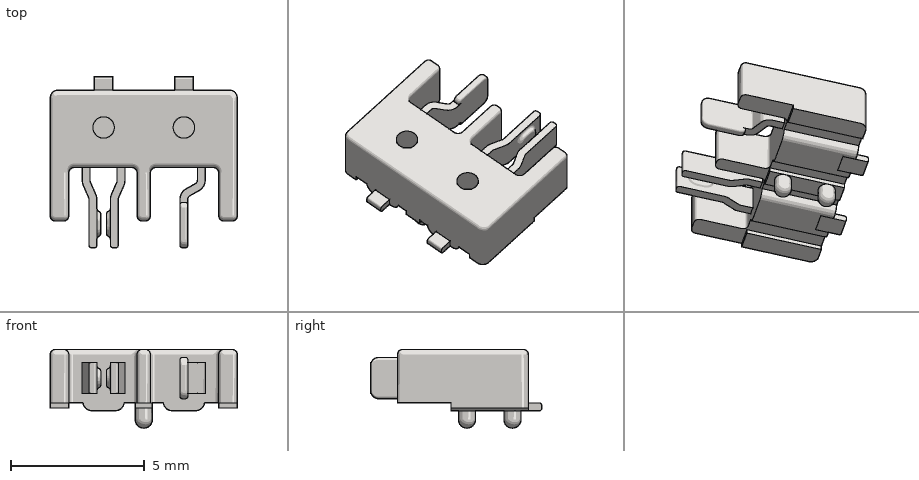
import cadquery as cq
import math


HOUSING_WIDTH = 7.0
REAR_Y = 2.9
FRONT_Y = -2.0
TOP_Z = 2.3
UNDERSIDE_Z = 0.3
OUTER_LEG_WIDTH = 0.7
CENTRE_LEG_WIDTH = 0.5
EDGE_RADIUS = 0.2
REAR_CORNER_RADIUS = 0.3
STANDOFF_Z = 0.1
PIN_DIAMETER = 0.65
PIN_TIP_Z = -0.65
PIN_Y_POSITIONS = (0.6, 2.3)
HOLE_DIAMETER = 0.8
HOLE_DEPTH = 1.0
HOLE_Y = 1.5
KEEL_WIDTH = 1.55
KEEL_FLAT_WIDTH = 0.85

POLE_X = 1.5
METAL_THICKNESS = 0.3
EMBED_DEPTH = 0.5
CONTACT_FRONT_Y = -3.0
CONTACT_BOTTOM_Z = 0.65
CONTACT_TOP_Z = 1.8
ROOT_OFFSET = 0.65
METAL_EDGE_RADIUS = 0.1

SPRING_TIP_OFFSET = 0.4
SPRING_BENDS_Y = (-0.55, -1.12)
SPRING_INNER_RADIUS = 0.15
DIMPLE_HEIGHT = 0.15
DIMPLE_LENGTH = 0.94
DIMPLE_WIDTH = 0.72
DIMPLE_BLEND_RADIUS = 0.13
DIMPLE_Y = -2.1

BLADE_BENDS_Y = (-0.64, -1.01)
BLADE_INNER_RADIUS = 0.15
BLADE_REAR_Y = -1.3
BLADE_OVERHANG = 0.2
BLADE_FRONT_CORNER_RADIUS = 0.3
BLADE_REAR_CORNER_RADIUS = 0.2

TAIL_WIDTH = 0.7
TAIL_LENGTH = 0.5

CONTACT_MID_Z = (CONTACT_BOTTOM_Z + CONTACT_TOP_Z) / 2


def block(x_range, y_range, z_range):
    """Axis-aligned box between the given limits."""
    size = [high - low for low, high in (x_range, y_range, z_range)]
    corner = (x_range[0], y_range[0], z_range[0])
    return cq.Workplane("XY").box(*size, centered=False).translate(corner)


def housing_shell():
    """Block with two front pockets, leaving three legs; all upper edges are rounded."""
    half_width = HOUSING_WIDTH / 2
    shell = block((-half_width, half_width), (FRONT_Y, REAR_Y), (UNDERSIDE_Z, TOP_Z))
    pocket_inner_x = CENTRE_LEG_WIDTH / 2
    pocket_outer_x = half_width - OUTER_LEG_WIDTH
    for x_range in ((-pocket_outer_x, -pocket_inner_x), (pocket_inner_x, pocket_outer_x)):
        shell = shell.cut(block(x_range, (FRONT_Y, 0), (UNDERSIDE_Z, TOP_Z)))
    shell = shell.edges("|Z and >Y").fillet(REAR_CORNER_RADIUS)
    shell = shell.edges(cq.selectors.BoxSelector(
        (-half_width - 1, FRONT_Y - 1, UNDERSIDE_Z),
        (half_width + 1, REAR_Y / 2, TOP_Z),
    )).edges("|Z").fillet(EDGE_RADIUS)
    return shell.faces(">Z").edges().fillet(EDGE_RADIUS)


def side_foot(side):
    """Low standoff under one outer wall, following the rounded rear corner."""
    outer_x = side * HOUSING_WIDTH / 2
    inner_x = outer_x - side * OUTER_LEG_WIDTH
    foot = block(sorted((inner_x, outer_x)), (0, REAR_Y), (STANDOFF_Z, UNDERSIDE_Z))
    rear_outer_edge = ">X" if side > 0 else "<X"
    return foot.edges("|Z").edges(">Y").edges(rear_outer_edge).fillet(REAR_CORNER_RADIUS)


def centre_foot():
    """Low standoff under the middle that carries the locating pins."""
    half_width = PIN_DIAMETER / 2
    return block((-half_width, half_width), (0, REAR_Y), (STANDOFF_Z, UNDERSIDE_Z))


def keel(pole_x):
    """Round-sided ridge under one pole, reaching down to the board plane."""
    half_top = KEEL_WIDTH / 2
    half_flat = KEEL_FLAT_WIDTH / 2
    side_run = half_top - half_flat
    side_radius = (side_run ** 2 + UNDERSIDE_Z ** 2) / (2 * UNDERSIDE_Z)
    return (
        cq.Workplane("XZ")
        .moveTo(pole_x - half_flat, 0)
        .lineTo(pole_x + half_flat, 0)
        .radiusArc((pole_x + half_top, UNDERSIDE_Z), -side_radius)
        .lineTo(pole_x - half_top, UNDERSIDE_Z)
        .radiusArc((pole_x - half_flat, 0), -side_radius)
        .close()
        .extrude(-REAR_Y)
    )


def locating_pin(pin_y):
    """Round pin with a hemispherical tip."""
    radius = PIN_DIAMETER / 2
    tip_centre = cq.Workplane("XY", origin=(0, pin_y, PIN_TIP_Z + radius))
    shank = tip_centre.circle(radius).extrude(STANDOFF_Z - PIN_TIP_Z - radius)
    return shank.union(tip_centre.sphere(radius))


def top_hole(pole_x):
    """Blind round hole in the top face."""
    hole = cq.Workplane("XY", origin=(pole_x, HOLE_Y, TOP_Z)).circle(HOLE_DIAMETER / 2)
    return hole.extrude(-HOLE_DEPTH)


def make_housing():
    housing = housing_shell().union(centre_foot())
    for side in (-1, 1):
        housing = housing.union(side_foot(side))
        housing = housing.union(keel(side * POLE_X))
        housing = housing.cut(top_hole(side * POLE_X))
    for pin_y in PIN_Y_POSITIONS:
        housing = housing.union(locating_pin(pin_y))
    return housing


def bent_strip(root_x, tip_x, bends_y, front_y, inner_radius):
    """Flat strip standing on edge, jogged sideways from root_x to tip_x by two equal bends."""
    half = METAL_THICKNESS / 2
    first_y, second_y = bends_y
    bend_angle = math.atan2(tip_x - root_x, first_y - second_y)
    mitre = half * math.tan(bend_angle / 2)
    strip = (
        cq.Workplane("XY", origin=(0, 0, CONTACT_BOTTOM_Z))
        .polyline([
            (root_x + half, EMBED_DEPTH),
            (root_x + half, first_y + mitre),
            (tip_x + half, second_y + mitre),
            (tip_x + half, front_y),
            (tip_x - half, front_y),
            (tip_x - half, second_y - mitre),
            (root_x - half, first_y - mitre),
            (root_x - half, EMBED_DEPTH),
        ])
        .close()
        .extrude(CONTACT_TOP_Z - CONTACT_BOTTOM_Z)
    )
    jog = math.copysign(1, tip_x - root_x)
    for bend_x, bend_y, inside in ((root_x, first_y, jog), (tip_x, second_y, -jog)):
        for side, radius in ((inside, inner_radius), (-inside, inner_radius + METAL_THICKNESS)):
            corner = (bend_x + side * half, bend_y + side * mitre, CONTACT_MID_Z)
            strip = strip.edges(cq.selectors.NearestToPointSelector(corner)).fillet(radius)
    return strip


def spring_contact(side):
    """Sprung arm of the socket pole, with a contact dimple facing the opposite arm."""
    root_x = -POLE_X + side * ROOT_OFFSET
    tip_x = -POLE_X + side * SPRING_TIP_OFFSET
    arm = bent_strip(root_x, tip_x, SPRING_BENDS_Y, CONTACT_FRONT_Y, SPRING_INNER_RADIUS)
    arm = arm.edges("|Z and <Y").fillet(METAL_EDGE_RADIUS)
    face_x = tip_x - side * METAL_THICKNESS / 2
    return arm.union(dimple(face_x, side))


def dimple(face_x, side):
    """Oblong contact spot whose flank curves up from the arm and over into a flat crown."""
    mid_radius = DIMPLE_WIDTH / 2
    half_height = DIMPLE_HEIGHT / 2
    half_straight = (DIMPLE_LENGTH - DIMPLE_WIDTH) / 2
    flank_run = math.sqrt(DIMPLE_BLEND_RADIUS ** 2 - (DIMPLE_BLEND_RADIUS - half_height) ** 2)

    def half_section(centre_y):
        return (
            cq.Workplane("XY", origin=(face_x, centre_y, CONTACT_MID_Z))
            .lineTo(0, mid_radius + flank_run)
            .radiusArc((-side * half_height, mid_radius), side * DIMPLE_BLEND_RADIUS)
            .radiusArc((-side * DIMPLE_HEIGHT, mid_radius - flank_run), -side * DIMPLE_BLEND_RADIUS)
            .lineTo(-side * DIMPLE_HEIGHT, 0)
            .close()
        )

    front_end = half_section(DIMPLE_Y - half_straight).revolve(360, (0, 0, 0), (1, 0, 0))
    rear_end = half_section(DIMPLE_Y + half_straight).revolve(360, (0, 0, 0), (1, 0, 0))
    axis_start = (face_x, DIMPLE_Y, CONTACT_MID_Z)
    upper_half = (
        half_section(DIMPLE_Y)
        .extrude(half_straight, both=True)
        .rotate(axis_start, (face_x + 1, DIMPLE_Y, CONTACT_MID_Z), 90)
    )
    lower_half = upper_half.mirror("XY", axis_start)
    return front_end.union(rear_end).union(upper_half).union(lower_half)


def blade_contact():
    """Jogged strip ending in a taller blade with rounded corners and edges."""
    root_x = POLE_X + ROOT_OFFSET
    blade_mid_y = (BLADE_REAR_Y + CONTACT_FRONT_Y) / 2
    strip = bent_strip(root_x, POLE_X, BLADE_BENDS_Y, blade_mid_y, BLADE_INNER_RADIUS)
    half = METAL_THICKNESS / 2
    blade = block(
        (POLE_X - half, POLE_X + half),
        (CONTACT_FRONT_Y, BLADE_REAR_Y),
        (CONTACT_BOTTOM_Z - BLADE_OVERHANG, CONTACT_TOP_Z + BLADE_OVERHANG),
    )
    blade = blade.edges("|X and <Y").fillet(BLADE_FRONT_CORNER_RADIUS)
    blade = blade.faces(">Y").edges("|X").fillet(BLADE_REAR_CORNER_RADIUS)
    blade = blade.faces("<X or >X").edges().fillet(METAL_EDGE_RADIUS)
    return strip.union(blade)


def solder_tail(pole_x):
    """Flat lead lying on the board plane behind the housing."""
    half_width = TAIL_WIDTH / 2
    tail = block(
        (pole_x - half_width, pole_x + half_width),
        (REAR_Y - EMBED_DEPTH, REAR_Y + TAIL_LENGTH),
        (0, METAL_THICKNESS),
    )
    return tail.edges("|X and >Y").fillet(METAL_EDGE_RADIUS)


spring_contacts = [spring_contact(side) for side in (-1, 1)]
blade = blade_contact()
solder_tails = [solder_tail(side * POLE_X) for side in (-1, 1)]

housing = make_housing()
for metal_part in (*spring_contacts, blade, *solder_tails):
    housing = housing.cut(metal_part)

result = cq.Compound.makeCompound([
    housing.val(),
    *[contact.val() for contact in spring_contacts],
    blade.val(),
    *[tail.val() for tail in solder_tails],
])